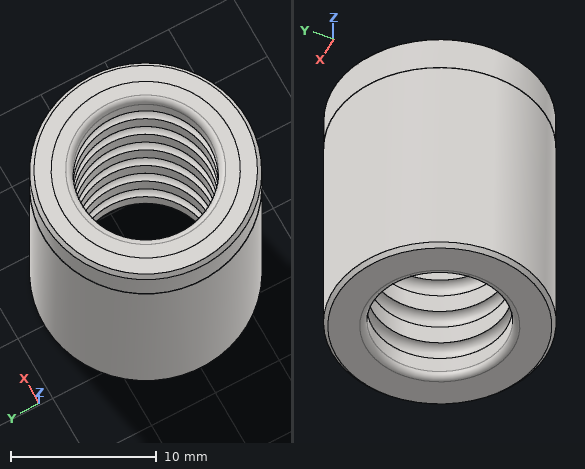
import cadquery as cq

length = 20.0
outer_radius = 8.0
edge_chamfer = 0.3

collar_height = 3.0
collar_radius = 7.98
neck_radius = 6.5
shoulder_z = length - collar_height

bore_radius = 5.0
mouth_fillet = 0.5
groove_count = 6
groove_pitch = 3.0
groove_radius = groove_pitch / 4
first_groove_z = (length - (groove_count - 1) * groove_pitch) / 2


def make_bushing():
    """Stepped sleeve with a grooved through bore, revolved from its half section."""
    mouth_radius = bore_radius + mouth_fillet
    groove_bottom = bore_radius + groove_radius
    section = (
        cq.Workplane("XZ")
        .moveTo(mouth_radius, 0)
        .lineTo(outer_radius - edge_chamfer, 0)
        .lineTo(outer_radius, edge_chamfer)
        .lineTo(outer_radius, shoulder_z)
        .lineTo(neck_radius, shoulder_z)
        .lineTo(neck_radius, length)
        .lineTo(mouth_radius, length)
        .radiusArc((bore_radius, length - mouth_fillet), -mouth_fillet)
    )
    for index in reversed(range(groove_count)):
        center_z = first_groove_z + index * groove_pitch
        section = section.lineTo(bore_radius, center_z + groove_radius)
        section = section.threePointArc((groove_bottom, center_z), (bore_radius, center_z - groove_radius))
    section = section.lineTo(bore_radius, mouth_fillet).radiusArc((mouth_radius, 0), -mouth_fillet)
    return section.close().revolve(360, (0, 0), (0, 1))


def make_collar():
    """Plain ring around the neck, level with its top."""
    blank = cq.Workplane("XY").workplane(offset=shoulder_z)
    ring = blank.circle(collar_radius).circle(neck_radius).extrude(collar_height)
    outer_edge = cq.selectors.RadiusNthSelector(-1)
    return ring.faces(">Z").edges(outer_edge).chamfer(edge_chamfer).solids()


bushing = make_bushing()
collar = make_collar()
result = cq.Compound.makeCompound([bushing.val(), collar.val()])